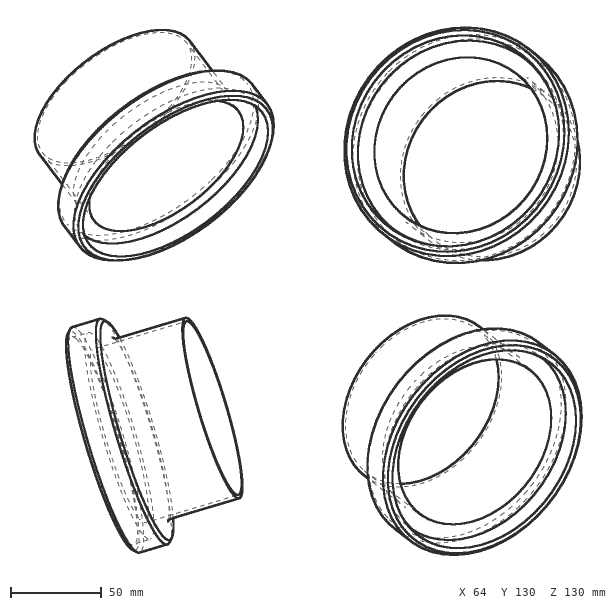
import cadquery as cq

total_length = 64.0
flange_diameter = 130.0
tube_diameter = 104.0
bore_diameter = 100.0
flange_thickness = 20.0
recess_diameter = 119.0
recess_depth = 9.8
mouth_flare = 0.5
mouth_length = 2.5
neck_fillet = 4.0
rim_chamfer = 2.0

flange_start = total_length - flange_thickness


def cylinder(start, length, diameter):
    """Solid cylinder along +X, beginning at x = start."""
    return cq.Workplane("YZ", origin=(start, 0, 0)).circle(diameter / 2).extrude(length)


flange = cylinder(flange_start, flange_thickness, flange_diameter).edges().chamfer(rim_chamfer)

tube = cylinder(0, total_length, tube_diameter)
neck_corner = cq.selectors.BoxSelector(
    (flange_start - rim_chamfer / 2, -flange_diameter, -flange_diameter),
    (flange_start + rim_chamfer / 2, flange_diameter, flange_diameter),
)
body = tube.union(flange)
body = body.edges(neck_corner).edges(cq.selectors.RadiusNthSelector(0)).fillet(neck_fillet)

bore = cylinder(0, total_length, bore_diameter)
recess = cylinder(total_length - recess_depth, recess_depth, recess_diameter)
drilled = body.cut(bore).cut(recess)

mouth = drilled.faces(">X").edges(cq.selectors.RadiusNthSelector(0))
result = mouth.chamfer(mouth_length, mouth_flare)